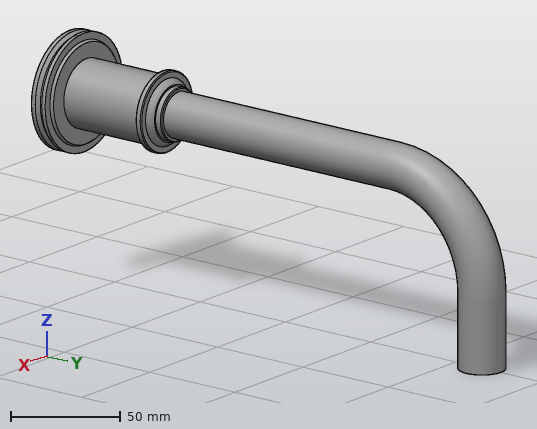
import cadquery as cq

front_rim_depth = 2.3
groove_front = 4.0
groove_back = 6.0
rear_rim_back = 8.0
disc_back = 9.5
collar_front = 53.8
collar_back = 57.0
edge_break = 0.5
shoulder_back = 59.3
seat_back = 60.3
base_back = 63.5

disc_radius = 28.5
groove_radius = 27.0
step_radius = 25.0
step_back_radius = 24.2
barrel_radius = 16.7
collar_radius = 19.5
shoulder_radius = 16.2
shoulder_back_radius = 14.6
seat_radius = 13.6
ring_radius = 12.9

overall_length = 252.5
drop_below_axis = 87.3
tube_radius = 11.0
bend_radius = 51.0

drop_y = overall_length - tube_radius
bend_start_y = drop_y - bend_radius


def make_base():
    """Front disc, barrel, collar and ring as one revolved profile."""
    profile = [
        (0, 0),
        (disc_radius, 0),
        (disc_radius, front_rim_depth),
        (groove_radius, groove_front),
        (groove_radius, groove_back),
        (disc_radius, groove_back),
        (disc_radius, rear_rim_back),
        (step_radius, rear_rim_back),
        (step_back_radius, disc_back),
        (barrel_radius, disc_back),
        (barrel_radius, collar_front),
        (collar_radius - edge_break, collar_front),
        (collar_radius, collar_front + edge_break),
        (collar_radius, collar_back - edge_break),
        (collar_radius - edge_break, collar_back),
        (shoulder_radius, collar_back),
        (shoulder_back_radius, shoulder_back),
        (seat_radius, seat_back),
        (ring_radius, seat_back),
        (ring_radius, base_back - edge_break),
        (ring_radius - edge_break, base_back),
        (0, base_back),
    ]
    return cq.Workplane("XY").polyline(profile).close().revolve(360, (0, 0), (0, 1))


def make_spout():
    """Round tube swept from inside the base to the downward outlet."""
    path = (
        cq.Workplane("YZ")
        .moveTo(disc_back, 0)
        .lineTo(bend_start_y, 0)
        .tangentArcPoint((drop_y, -bend_radius), relative=False)
        .lineTo(drop_y, -drop_below_axis)
    )
    section = cq.Workplane("XZ", origin=(0, disc_back, 0)).circle(tube_radius)
    return section.sweep(path)


result = make_base().union(make_spout())